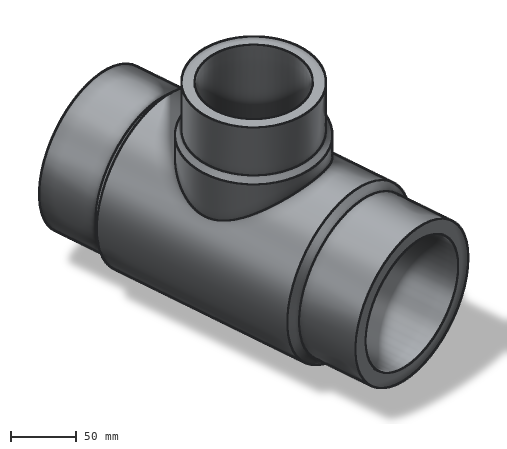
import cadquery as cq

run_length = 305.0
run_bore_diameter = 114.7
run_end_diameter = 140.0
run_body_diameter = 152.8
run_end_length = 54.3

branch_bore_diameter = 90.0
branch_end_diameter = 110.0
branch_collar_diameter = 120.0
branch_end_length = 47.0
overall_height = 217.5

run_body_length = run_length - 2 * run_end_length
run_bevel = (run_body_diameter - run_end_diameter) / 2
branch_height = overall_height - run_body_diameter / 2
branch_collar_height = branch_height - branch_end_length
branch_bevel = (branch_collar_diameter - branch_end_diameter) / 2


def run_cylinder(diameter, length):
    """Cylinder along X, centred on the origin."""
    return cq.Workplane("YZ", origin=(-length / 2, 0, 0)).circle(diameter / 2).extrude(length)


def branch_cylinder(diameter, height):
    """Cylinder rising along Z from the run axis."""
    return cq.Workplane("XY").circle(diameter / 2).extrude(height)


run_body = run_cylinder(run_body_diameter, run_body_length).faces("<X or >X").chamfer(run_bevel)
run = run_cylinder(run_end_diameter, run_length).union(run_body)

branch_collar = branch_cylinder(branch_collar_diameter, branch_collar_height).faces(">Z").chamfer(branch_bevel)
branch = branch_cylinder(branch_end_diameter, branch_height).union(branch_collar)

result = (
    run.union(branch)
    .cut(run_cylinder(run_bore_diameter, run_length))
    .cut(branch_cylinder(branch_bore_diameter, branch_height))
)